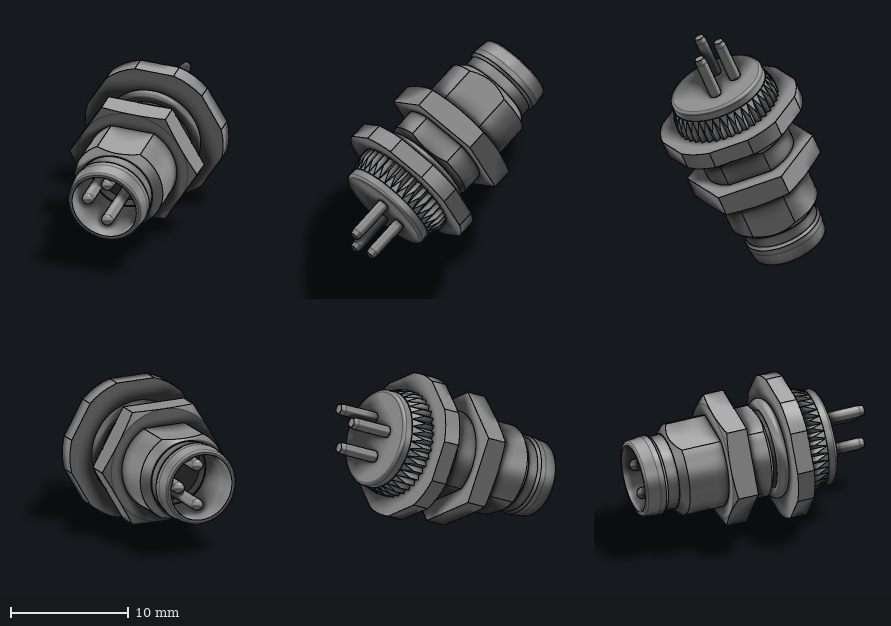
import cadquery as cq
import math


overall_length = 20.9
nose_cone_end = 1.23
nose_rim_back = 1.73
nose_neck_start = 1.99
thread_start = 2.99
nut_front = 7.21
nut_thickness = 2.0
thread_end = 11.5
flange_front = 12.69
flange_thickness = 1.5
knurl_full_end = 15.1
knurl_end = 16.22
cap_end = 17.08

nose_diameter = 6.9
nose_front_diameter = 6.56
nose_neck_diameter = 6.5
nose_rim_fillet = 0.19
bore_diameter = 5.8
bore_depth = 5.02
bore_end_diameter = 5.6
bore_end_depth = 6.0

thread_diameter = 8.0
flat_distance = 7.0
thread_end_chamfer = 0.38
thread_front_chamfer = 0.7
neck_diameter = 6.7

nut_across_flats = 10.01
nut_chamfer_angle = 15.0
flange_across_flats = 12.0
flange_corner_diameter = 12.5

knurl_teeth = 40
knurl_tip_diameter = 9.2
knurl_root_diameter = 8.49
cap_diameter = 8.4
cap_fillet = 0.25

pin_diameter = 1.0
pin_offset = 1.75
pin_front_recess = 0.33
pin_tail_diameter = 0.82
pin_tail_taper = 0.45

ring_section_diameter = 1.0


def revolve_about_y(profile):
    """Turn a closed profile of (radius, y) around the connector axis."""
    return profile.close().revolve(360, (0, 0, 0), (0, 1, 0))


def extrude_along_y(outline_at, y_start, length):
    """Extrude the outline drawn by outline_at, on a plane facing -Y, towards +Y."""
    plane = cq.Workplane("XZ", origin=(0, y_start, 0))
    return outline_at(plane).extrude(-length)


def hexagon(across_flats, y_start, length):
    """Hexagonal prism with corners on +X and -X and flats on +Z and -Z."""
    corner_diameter = across_flats / math.cos(math.pi / 6)
    return extrude_along_y(lambda plane: plane.polygon(6, corner_diameter), y_start, length)


def cylinder(diameter, y_start, length):
    return extrude_along_y(lambda plane: plane.circle(diameter / 2), y_start, length)


def make_nose():
    """Mating nose with a tapered snap rim and a rounded front edge."""
    rim_radius = nose_diameter / 2
    neck_radius = nose_neck_diameter / 2
    nose = revolve_about_y(
        cq.Workplane("XY")
        .moveTo(0, 0)
        .lineTo(nose_front_diameter / 2, 0)
        .lineTo(rim_radius, nose_cone_end)
        .lineTo(rim_radius, nose_rim_back)
        .lineTo(neck_radius, nose_neck_start)
        .lineTo(neck_radius, thread_start)
        .lineTo(0, thread_start)
    )
    return nose.faces("<Y").edges().fillet(nose_rim_fillet)


def make_barrel():
    """Chamfered thread barrel, milled flat on top and bottom, and the neck behind it."""
    thread_radius = thread_diameter / 2
    neck_radius = neck_diameter / 2
    barrel = revolve_about_y(
        cq.Workplane("XY")
        .moveTo(0, thread_start)
        .lineTo(thread_radius - thread_front_chamfer, thread_start)
        .lineTo(thread_radius, thread_start + thread_front_chamfer)
        .lineTo(thread_radius, thread_end - thread_end_chamfer)
        .lineTo(neck_radius, thread_end)
        .lineTo(neck_radius, flange_front)
        .lineTo(0, flange_front)
    )
    flats = cq.Workplane("XY").box(thread_diameter, 2 * overall_length, flat_distance)
    return barrel.intersect(flats)


def make_nut():
    """Hexagonal collar whose front corners are turned off conically."""
    nut_back = nut_front + nut_thickness
    face_radius = nut_across_flats / 2
    corner_radius = face_radius / math.cos(math.pi / 6)
    chamfer_drop = (corner_radius - face_radius) * math.tan(math.radians(nut_chamfer_angle))
    turned_blank = revolve_about_y(
        cq.Workplane("XY")
        .moveTo(0, nut_front)
        .lineTo(face_radius, nut_front)
        .lineTo(corner_radius, nut_front + chamfer_drop)
        .lineTo(corner_radius, nut_back)
        .lineTo(0, nut_back)
    )
    return hexagon(nut_across_flats, nut_front, nut_thickness).intersect(turned_blank)


def make_flange():
    """Hexagonal flange with its corners rounded off on one circle."""
    disc = cylinder(flange_corner_diameter, flange_front, flange_thickness)
    return hexagon(flange_across_flats, flange_front, flange_thickness).intersect(disc)


def make_knurl():
    """Ring of V-shaped teeth, tapered down to the tooth roots at the rear."""
    knurl_start = flange_front + flange_thickness
    knurl_length = knurl_end - knurl_start
    tip_radius = knurl_tip_diameter / 2
    root_radius = knurl_root_diameter / 2
    half_pitch = math.pi / knurl_teeth
    tooth_points = []
    for tooth in range(knurl_teeth):
        root_angle = 2 * tooth * half_pitch
        tip_angle = root_angle + half_pitch
        tooth_points.append((root_radius * math.cos(root_angle), root_radius * math.sin(root_angle)))
        tooth_points.append((tip_radius * math.cos(tip_angle), tip_radius * math.sin(tip_angle)))
    teeth = extrude_along_y(lambda plane: plane.polyline(tooth_points).close(), knurl_start, knurl_length)
    tapered_blank = revolve_about_y(
        cq.Workplane("XY")
        .moveTo(0, knurl_start)
        .lineTo(tip_radius, knurl_start)
        .lineTo(tip_radius, knurl_full_end)
        .lineTo(root_radius, knurl_end)
        .lineTo(0, knurl_end)
    )
    return teeth.intersect(tapered_blank)


def make_cap():
    """Round rear cap with a rounded outer edge."""
    cap = cylinder(cap_diameter, knurl_end, cap_end - knurl_end)
    return cap.faces(">Y").edges().fillet(cap_fillet)


def make_pin(x, z):
    """Contact pin with a hemispherical front end and a tapered solder tail."""
    radius = pin_diameter / 2
    dome_base = pin_front_recess + radius
    dome_mid = radius * math.sqrt(0.5)
    pin = revolve_about_y(
        cq.Workplane("XY")
        .moveTo(0, pin_front_recess)
        .threePointArc((dome_mid, dome_base - dome_mid), (radius, dome_base))
        .lineTo(radius, overall_length - pin_tail_taper)
        .lineTo(pin_tail_diameter / 2, overall_length)
        .lineTo(0, overall_length)
    )
    return pin.translate((x, 0, z))


def make_connector():
    """Housing with its nut, flange, knurl, cap and moulded-in pins, as one body."""
    connector = make_nose()
    for section in (make_barrel(), make_nut(), make_flange(), make_knurl(), make_cap()):
        connector = connector.union(section)
    connector = connector.cut(cylinder(bore_diameter, 0, bore_depth))
    connector = connector.cut(cylinder(bore_end_diameter, 0, bore_end_depth))
    for x, z in ((0, pin_offset), (-pin_offset, 0), (0, -pin_offset)):
        connector = connector.union(make_pin(x, z))
    return connector


def make_sealing_ring():
    """O-ring lying around the neck and against the front of the flange."""
    section_radius = ring_section_diameter / 2
    ring_radius = neck_diameter / 2 + section_radius
    section = cq.Workplane("XY").center(ring_radius, flange_front - section_radius)
    return section.circle(section_radius).revolve(360, (-ring_radius, 0, 0), (-ring_radius, 1, 0))


connector = make_connector()
sealing_ring = make_sealing_ring()

result = cq.Compound.makeCompound([connector.val(), sealing_ring.val()])